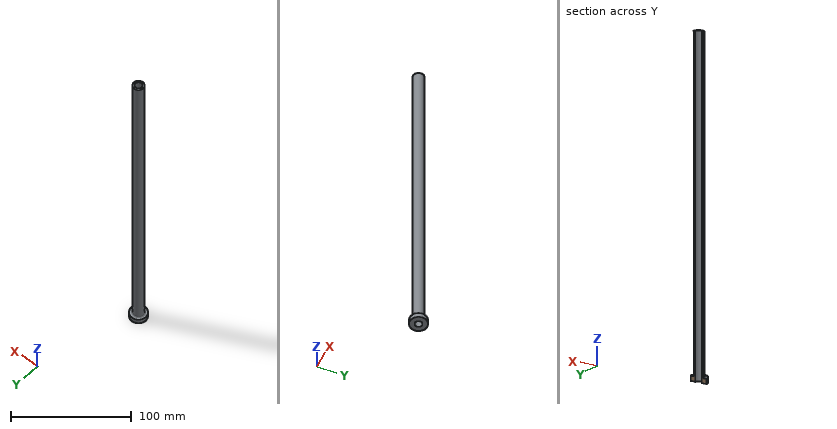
import cadquery as cq

total_length = 305.0
head_diameter = 16.0
head_height = 5.0
tube_diameter = 10.0
bore_diameter = 6.5
root_fillet = 0.5


def cylinder(diameter, height):
    """Upright cylinder centred on Z, starting at Z = 0."""
    return cq.Workplane("XY").circle(diameter / 2).extrude(height)


body = cylinder(head_diameter, head_height).union(cylinder(tube_diameter, total_length))

tube_ends = cq.selectors.RadiusNthSelector(0)
body = body.edges(tube_ends).edges("<Z").fillet(root_fillet)

result = body.cut(cylinder(bore_diameter, total_length))